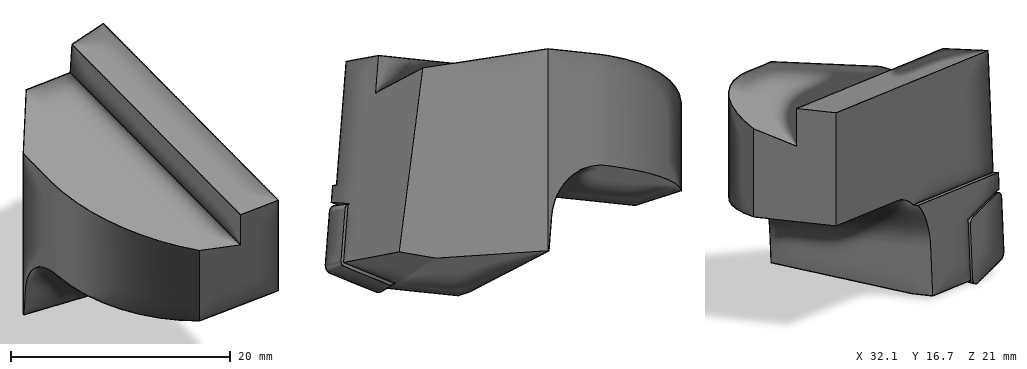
import cadquery as cq
import math


def tan_deg(angle):
    return math.tan(math.radians(angle))


def cos_deg(angle):
    return math.cos(math.radians(angle))


def sin_deg(angle):
    return math.sin(math.radians(angle))


right_end = 32.1
front_radius = 16.0
front_y = -front_radius

tongue_width = 4.05
tongue_depth = 3.5
shoulder_angle = 15.0
pad_height = 0.48
pad_top = -11.52
bottom_angle = 6.0
bottom_front_z = -19.0
bottom_z = -20.5

facet_end_x = 13.77
facet_angle = 33.0
round_start_x = 18.52

undercut_z = -10.53
undercut_radius = 5.78
undercut_wall_angle = 5.0
undercut_bottom_x = 13.77

flank_top_x = 1.75
flank_drop_angle = 5.0
flank_back_angle = 15.0
corner_edge_angle = 15.0
corner_point = (0.58, -1.73, -19.0)
corner_slope_x = -tan_deg(corner_edge_angle)
corner_slope_y = -0.076

insert_side = 6.45
insert_thickness = 2.38
insert_top_y = 0.7
insert_relief = 7.0
insert_corner_radius = 0.77
insert_corner_x = -0.05
insert_corner_z = -19.5
insert_flank_angle = 5.0
insert_edge_angle = 15.0

margin = 1.3
cutter_size = 96.3


def half_space(point, normal):
    """A large block filling the side of a plane that the normal points to."""
    plane = cq.Plane(origin=point, normal=normal)
    return cq.Workplane(plane).rect(cutter_size, cutter_size).extrude(cutter_size)


def side_profile():
    shoulder_rise = (front_radius - tongue_width) * tan_deg(shoulder_angle)
    bottom_break_y = front_y + (bottom_front_z - bottom_z) / tan_deg(bottom_angle)
    return (
        cq.Workplane("YZ", origin=(-margin, 0, 0))
        .polyline([
            (0, 0),
            (-tongue_width, 0),
            (-tongue_width, -tongue_depth),
            (front_y, -tongue_depth + shoulder_rise),
            (front_y, bottom_front_z),
            (bottom_break_y, bottom_z),
            (pad_height, bottom_z),
            (pad_height, pad_top),
            (0, pad_top),
        ])
        .close()
        .extrude(right_end + margin)
    )


def plan_outline():
    round_run = right_end - round_start_x
    round_end_y = -math.sqrt(front_radius**2 - round_run**2)
    half_sweep = math.asin(round_run / front_radius) / 2
    round_middle = (
        round_start_x + front_radius * math.sin(half_sweep),
        -front_radius * math.cos(half_sweep),
    )
    facet_start_y = front_y + (facet_end_x + margin) * tan_deg(facet_angle)
    return (
        cq.Workplane("XY", origin=(0, 0, bottom_z - margin))
        .moveTo(-margin, facet_start_y)
        .lineTo(facet_end_x, front_y)
        .lineTo(round_start_x, front_y)
        .threePointArc(round_middle, (right_end, round_end_y))
        .lineTo(right_end, pad_height)
        .lineTo(-margin, pad_height)
        .close()
        .extrude(margin - bottom_z)
    )


def undercut():
    """Space below the right end, with a rounded inner corner."""
    low_z = bottom_z - margin
    low_x = undercut_bottom_x - margin * tan_deg(undercut_wall_angle)
    corner_x = low_x + (undercut_z - low_z) * tan_deg(undercut_wall_angle)
    outer_x = right_end + margin
    return (
        cq.Workplane("XZ", origin=(0, pad_height + margin, 0))
        .polyline([(low_x, low_z), (corner_x, undercut_z), (outer_x, undercut_z), (outer_x, low_z)])
        .close()
        .extrude(front_radius + pad_height + 2 * margin)
        .faces(">Z")
        .edges("<X")
        .fillet(undercut_radius)
    )


def rhombus_outline(overrun):
    """Insert outline; overrun lengthens it past its left and lower sides."""
    side = insert_side + overrun
    up = (side * sin_deg(insert_flank_angle), side * cos_deg(insert_flank_angle))
    along = (side * cos_deg(insert_edge_angle), -side * sin_deg(insert_edge_angle))
    shift = overrun / side
    x = insert_corner_x - shift * (up[0] + along[0])
    z = insert_corner_z - shift * (up[1] + along[1])
    return cq.Sketch().polygon([
        (x, z),
        (x + along[0], z + along[1]),
        (x + along[0] + up[0], z + along[1] + up[1]),
        (x + up[0], z + up[1]),
        (x, z),
    ])


def insert_prism(outline):
    """Extrude an outline forward, narrowing it by the relief angle."""
    return (
        cq.Workplane("XZ", origin=(0, insert_top_y, 0))
        .placeSketch(outline)
        .extrude(insert_thickness, taper=insert_relief)
    )


def make_holder():
    body = side_profile().intersect(plan_outline()).cut(undercut())
    left_flank = half_space(
        (flank_top_x, 0, 0),
        (-1, -tan_deg(flank_back_angle), tan_deg(flank_drop_angle)),
    )
    lower_corner = half_space(corner_point, (corner_slope_x, corner_slope_y, -1))
    return body.cut(left_flank).cut(lower_corner).cut(insert_prism(rhombus_outline(margin)))


def make_insert():
    outline = rhombus_outline(0).vertices().fillet(insert_corner_radius)
    return insert_prism(outline)


holder = make_holder()
insert = make_insert()

result = cq.Compound.makeCompound([holder.solids().val(), insert.solids().val()])